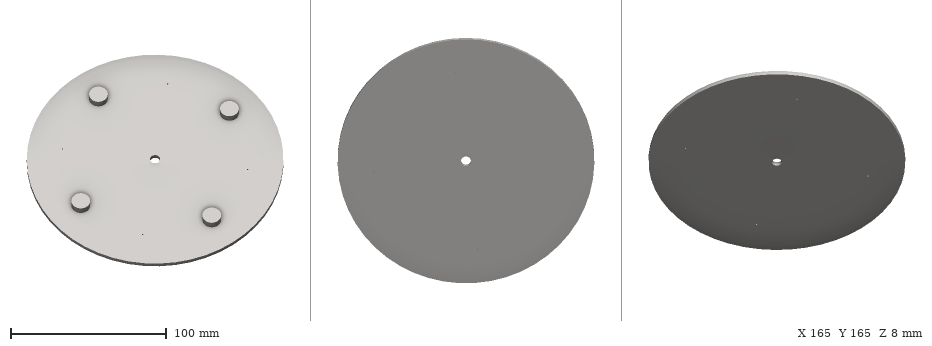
import cadquery as cq

plate_diameter = 165
plate_thickness = 3.0
center_hole_diameter = 6.5

pitch_radius = 60.0
feature_count = 4
pin_diameter = 12.0
pin_height = 5.0
small_hole_diameter = 0.9
small_hole_start_angle = 45


def make_plate():
    """Flat disc resting on Z = 0 with a through hole at its center."""
    return (
        cq.Workplane("XY")
        .circle(plate_diameter / 2)
        .circle(center_hole_diameter / 2)
        .extrude(plate_thickness)
    )


def add_pins(body):
    """Upright pins on the X and Y axes."""
    return (
        body.faces(">Z")
        .workplane(origin=(0, 0, plate_thickness))
        .polarArray(pitch_radius, 0, 360, feature_count)
        .circle(pin_diameter / 2)
        .extrude(pin_height)
    )


def cut_small_holes(body):
    """Small through holes midway between the pins."""
    holes = (
        cq.Workplane("XY")
        .polarArray(pitch_radius, small_hole_start_angle, 360, feature_count)
        .circle(small_hole_diameter / 2)
        .extrude(plate_thickness)
    )
    return body.cut(holes)


result = cut_small_holes(add_pins(make_plate()))